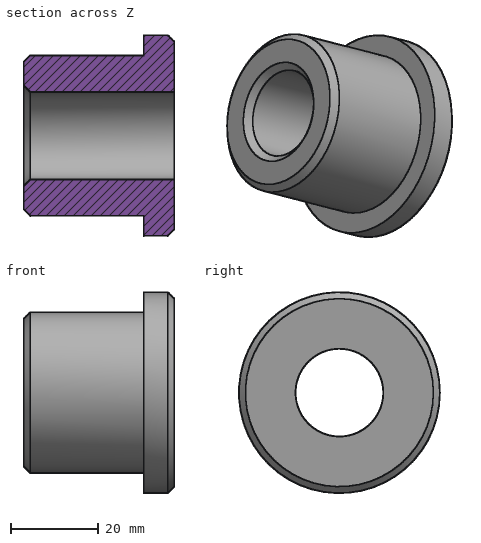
import cadquery as cq

flange_diameter = 46.0
body_diameter = 36.8
bore_diameter = 20.0
total_length = 34.5
flange_thickness = 7.05
edge_chamfer = 1.5

entry_x = -total_length / 2
body_length = total_length - flange_thickness


def cylinder_along_x(start_x, diameter, length):
    """Solid cylinder that starts at start_x and runs toward +X."""
    return cq.Workplane("YZ", origin=(start_x, 0, 0)).circle(diameter / 2).extrude(length)


body = cylinder_along_x(entry_x, body_diameter, body_length)
body = body.faces("<X").edges().chamfer(edge_chamfer)

flange = cylinder_along_x(entry_x + body_length, flange_diameter, flange_thickness)
flange = flange.faces(">X").edges().chamfer(edge_chamfer)

bore = cylinder_along_x(entry_x, bore_diameter, total_length)
result = body.union(flange).cut(bore)
bore_mouth = cq.selectors.RadiusNthSelector(0)
result = result.faces("<X").edges(bore_mouth).chamfer(edge_chamfer)